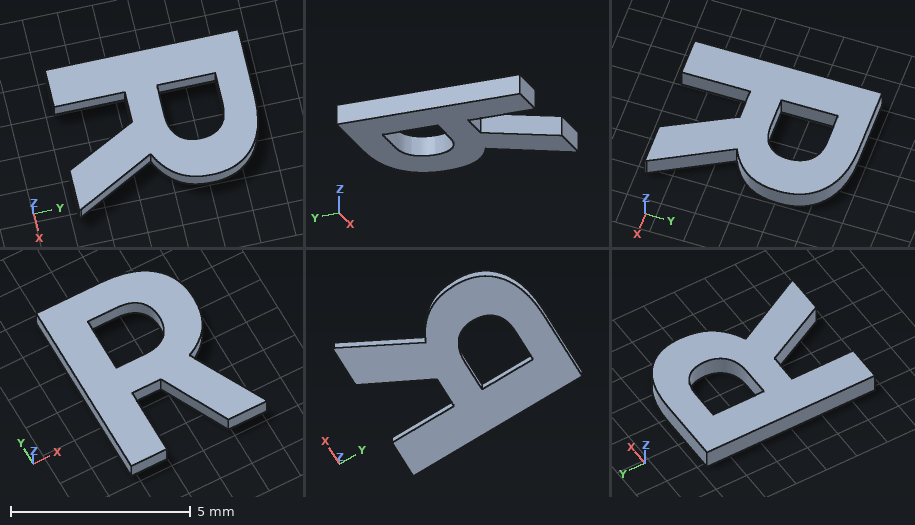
import cadquery as cq

height = 5.53
width = 4.31
thickness = 0.6

stem_width = 1.14
bar_height = 0.925
middle_bar_bottom = 2.025
counter_bottom = middle_bar_bottom + bar_height
counter_top = height - bar_height

notch_x = 2.045
foot_left = 3.085
foot_edge_height = 0.055
crotch = (3.115, 2.31)

curve_start_x = 2.055
bowl_right = 4.1
bowl_side_y = 3.86
counter_right = 2.96
counter_side_y = 3.765

bowl_top_control_x = 3.035
bowl_upper_control_y = 4.655
bowl_lower_control_y = 3.29
bowl_crotch_control = (3.605, 2.54)
counter_bottom_control_x = 2.49
counter_lower_control_y = 3.385
counter_upper_control_y = 4.16
counter_top_control_x = 2.51


def add_turn(outline, first_control, second_control, end):
    """Continue the outline with two quadratic curves that meet smoothly."""
    middle = (
        (first_control[0] + second_control[0]) / 2,
        (first_control[1] + second_control[1]) / 2,
    )
    outline = outline.bezier([first_control, middle], includeCurrent=True)
    return outline.bezier([second_control, end], includeCurrent=True)


def make_letter_body():
    outline = cq.Workplane("XY").lineTo(0, height).lineTo(curve_start_x, height)
    outline = add_turn(
        outline,
        (bowl_top_control_x, height),
        (bowl_right, bowl_upper_control_y),
        (bowl_right, bowl_side_y),
    )
    outline = add_turn(outline, (bowl_right, bowl_lower_control_y), bowl_crotch_control, crotch)
    outline = (
        outline.lineTo(width, foot_edge_height)
        .lineTo(width, 0)
        .lineTo(foot_left, 0)
        .lineTo(notch_x, middle_bar_bottom)
        .lineTo(stem_width, middle_bar_bottom)
        .lineTo(stem_width, 0)
        .close()
    )
    return outline.extrude(thickness)


def make_counter():
    outline = (
        cq.Workplane("XY")
        .moveTo(stem_width, counter_top)
        .lineTo(stem_width, counter_bottom)
        .lineTo(curve_start_x, counter_bottom)
    )
    outline = add_turn(
        outline,
        (counter_bottom_control_x, counter_bottom),
        (counter_right, counter_lower_control_y),
        (counter_right, counter_side_y),
    )
    outline = add_turn(
        outline,
        (counter_right, counter_upper_control_y),
        (counter_top_control_x, counter_top),
        (curve_start_x, counter_top),
    )
    return outline.close().extrude(thickness)


result = make_letter_body().cut(make_counter())